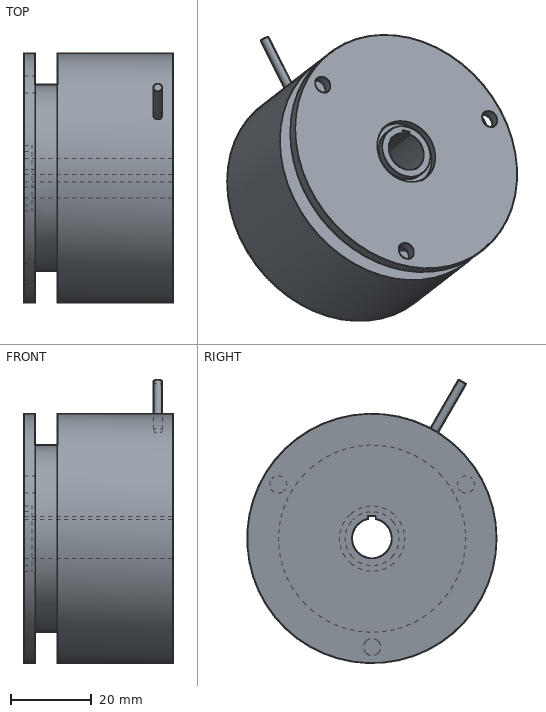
import cadquery as cq
import math

outer_diameter = 62.0
total_length = 37.05
overall_height = 70.45

flange_thickness = 2.8
neck_diameter = 46.5
neck_length = 5.5
body_start = flange_thickness + neck_length

bore_diameter = 9.8
keyway_width = 1.9
keyway_top = 5.6
ring_inner_diameter = 13.4
ring_outer_diameter = 16.2
ring_depth = 2.0

hole_diameter = 4.2
hole_circle_radius = 26.9
hole_count = 3

cable_diameter = 2.2
cable_x = 33.25
cable_tilt = 30.0
cable_root_radius = outer_diameter / 4
tilt = math.radians(cable_tilt)
tip_height = overall_height - outer_diameter / 2
cable_tip_radius = (tip_height - cable_diameter / 2 * math.sin(tilt)) / math.cos(tilt)


def cylinder(diameter, start, length):
    """Solid cylinder about the X axis, beginning at X = start."""
    return cq.Workplane("YZ", origin=(start, 0, 0)).circle(diameter / 2).extrude(length)


def make_housing():
    flange = cylinder(outer_diameter, 0, flange_thickness)
    neck = cylinder(neck_diameter, flange_thickness, neck_length)
    body = cylinder(outer_diameter, body_start, total_length - body_start)
    return flange.union(neck).union(body)


def make_cable():
    direction = cq.Vector(0, math.sin(tilt), math.cos(tilt))
    root = cq.Vector(cable_x, 0, 0) + direction * cable_root_radius
    return cq.Workplane(
        cq.Solid.makeCylinder(
            cable_diameter / 2, cable_tip_radius - cable_root_radius, root, direction
        )
    )


def make_keyed_bore():
    keyway = (
        cq.Workplane("YZ")
        .center(0, keyway_top / 2)
        .rect(keyway_width, keyway_top)
        .extrude(total_length)
    )
    return cylinder(bore_diameter, 0, total_length).union(keyway)


def make_ring_groove():
    core = cylinder(ring_inner_diameter, 0, ring_depth)
    return cylinder(ring_outer_diameter, 0, ring_depth).cut(core)


def make_flange_holes():
    return (
        cq.Workplane("YZ")
        .polarArray(hole_circle_radius, -90, 360, hole_count)
        .circle(hole_diameter / 2)
        .extrude(flange_thickness)
    )


result = (
    make_housing()
    .union(make_cable())
    .cut(make_keyed_bore())
    .cut(make_ring_groove())
    .cut(make_flange_holes())
)